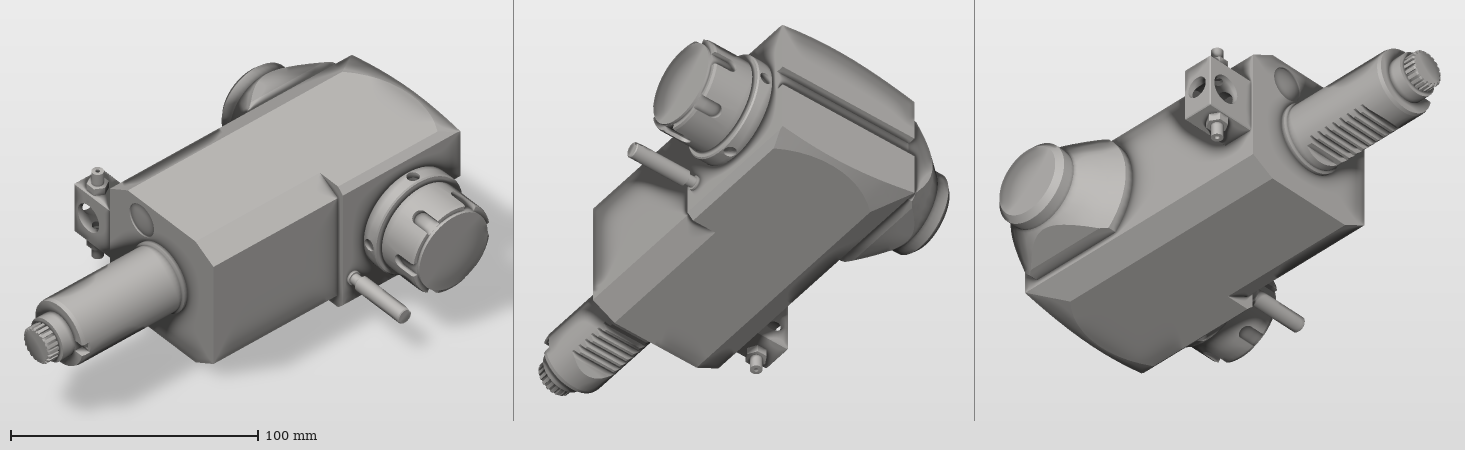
import cadquery as cq
import math


HOUSING_LENGTH = 129.0
HOUSING_HALF_HEIGHT = 64.0 / 2
HOUSING_LEFT = -32.3
HOUSING_RIGHT = 32.1
HEAD_RIGHT = 35.3
HEAD_START = 66.2
HEAD_CHAMFER = 3.0
CORNER_WIDTH = 11.2
CORNER_HEIGHT = 6.3
CROWN_CENTER = (8.8, 82.0)
CROWN_RADIUS = 44.1
CROWN_ANGLE = 19.0
NOTCH_DEPTH = 3.7
NOTCH_WIDTH = 10.0
RECESS_CENTER = (-12.5, 21.8)
RECESS_RADIUS = 7.6
RECESS_DEPTH = 0.8

CUTTER_WIDTH = 4 * HEAD_RIGHT

COLLAR_RADIUS = 16.0
COLLAR_END = 1.5
SHANK_RADIUS = 30.0 / 2
COLLAR_TAPER_END = 2.4
SHANK_END = 54.9
TAPER_LENGTH = 1.8
TAPER_DEPTH = 0.4
NECK_RADIUS = 10.0
NECK_END = 61.2
KEYWAY_WIDTH = 5.5
KEYWAY_DEPTH = 4.0
KEYWAY_POCKET_SIZE = 3.5
KEYWAY_POCKET_DEPTH = 2.0

SPLINE_RADIUS = 8.2
SPLINE_ROOT_RADIUS = 7.0
SPLINE_START = 61.7
SPLINE_END = 67.0
SPLINE_CHAMFER = 0.5
SPLINE_TEETH = 20
SPLINE_GAP_WIDTH = 1.2

RACK_TOP = 12.2
RACK_ROOT = 10.4
RACK_START = 7.5
RACK_START_RUN = 1.5
RACK_FIRST_GAP = 11.5
RACK_PITCH = 4.1
RACK_GAPS = 8
RACK_ROOT_WIDTH = 1.2
RACK_GAP_WIDTH = 3.0

SPINDLE_Y = 100.0

COVER_RADIUS = 32.0
COVER_STEP = -36.5
COVER_HALF_HEIGHT = 23.0
COVER_BEVEL_START = -38.8
COVER_BEVEL_ANGLE = 15.0
COVER_BACK = 124.9
CAP_RADIUS = 36.7 / 2
CAP_START = -52.7
CAP_END = -60.8
CAP_CHAMFER = 2.5

FLANGE_RADIUS = 23.5
FLANGE_START = 35.9
FLANGE_END = 43.5
FLANGE_CHAMFER = 0.5
FLANGE_HOLE_RADIUS = 2.7
FLANGE_HOLE_DEPTH = 3.0
FLANGE_HOLES = 4
DRILL_POINT_ANGLE = 118.0
SPINDLE_RADIUS = 17.2
NUT_RADIUS = 20.8
NUT_START = 44.5
NUT_END = 63.5
NUT_CHAMFER_LENGTH = 1.2
NUT_CHAMFER_DEPTH = 0.4
NUT_FACE_RADIUS = 18.2
NUT_FACE_END = 64.9
NUT_SLOTS = 6
NUT_SLOT_WIDTH = 6.5
NUT_SLOT_START = 52.5

PIPE_Y = 71.5
PIPE_Z = -17.0
PIPE_RADIUS = 3.5
PIPE_START = 40.8
PIPE_END = 67.8
PIPE_CHAMFER = 0.4
PIPE_NECK_RADIUS = 2.4
PIPE_FOOT_RADIUS = 3.1
PIPE_FOOT_END = 36.5
PIPE_HOLE_RADIUS = 1.5
PIPE_HOLE_DEPTH = 4.0
PIPE_HOLE_ANGLE = 45.0
PIPE_HOLE_SETBACK = 1.0

BLOCK_LEFT = -56.0
BLOCK_FRONT = 1.2
BLOCK_BACK = 15.9
BLOCK_HALF_HEIGHT = 12.7
BLOCK_CHAMFER = 0.4
SCREW_X = -47.0
SCREW_Y = 6.0
SCREW_RADIUS = 2.5
SCREW_BORE_RADIUS = 1.0
SCREW_HOLE_RADIUS = 2.4
SCREW_HOLE_TOP = 8.8
SCREW_TOP = 22.3
HEX_NUT_TOP = 16.3
HEX_NUT_DIAMETER = 9.2
SOCKET_DIAMETER = 3.1
SOCKET_DEPTH = 2.0
PORT_RADIUS = 6.7
SIDE_PORT_Y = 8.6
SIDE_PORT_RADIUS = 4.9
SIDE_PORT_END = -38.2


def turned_about_y(profile):
    """Solid of revolution about the Y axis from (radius, distance in front of the housing) points."""
    points = [(radius, -distance) for radius, distance in profile]
    return cq.Workplane("XY").polyline(points).close().revolve(360, (0, 0, 0), (0, 1, 0))


def turned_about_x(profile, y, z=0):
    """Solid of revolution about an axis parallel to X from (x, radius) points."""
    solid = cq.Workplane("XY").polyline(profile).close().revolve(360, (0, 0, 0), (1, 0, 0))
    return solid.translate((0, y, z))


def cylinder_along_x(radius, start, end, y):
    return cq.Workplane("YZ", origin=(start, y, 0)).circle(radius).extrude(end - start)


def spindle_pattern(tool, count):
    """Copies of a tool spaced evenly around the spindle axis."""
    axis_start = (0, SPINDLE_Y, 0)
    axis_end = (1, SPINDLE_Y, 0)
    return [tool.rotate(axis_start, axis_end, i * 360 / count) for i in range(count)]


def make_crown():
    """Double cone about a vertical axis that bounds the back of the housing above and below."""
    rim_radius = CROWN_RADIUS + HOUSING_HALF_HEIGHT / math.tan(math.radians(CROWN_ANGLE))
    profile = [
        (0, -HOUSING_HALF_HEIGHT),
        (CROWN_RADIUS, -HOUSING_HALF_HEIGHT),
        (rim_radius, 0),
        (CROWN_RADIUS, HOUSING_HALF_HEIGHT),
        (0, HOUSING_HALF_HEIGHT),
    ]
    cone = cq.Workplane("XZ").polyline(profile).close().revolve(360, (0, 0, 0), (0, 1, 0))
    return cone.translate((CROWN_CENTER[0], CROWN_CENTER[1], 0))


def housing_section(right, right_width, right_height):
    """Closed cross-section of the housing, symmetric above and below the shank axis."""
    top = HOUSING_HALF_HEIGHT
    upper = [
        (HOUSING_LEFT, top - CORNER_HEIGHT),
        (HOUSING_LEFT + CORNER_WIDTH, top),
        (right - right_width, top),
        (right, top - right_height),
    ]
    lower = [(x, -z) for x, z in reversed(upper)]
    return cq.Workplane("XZ").polyline(upper + lower).close()


def make_housing():
    front = housing_section(HOUSING_RIGHT, CORNER_WIDTH, CORNER_HEIGHT).extrude(-HEAD_START)
    head = housing_section(HEAD_RIGHT, HEAD_CHAMFER, HEAD_CHAMFER)
    head = head.extrude(HEAD_START - HOUSING_LENGTH).translate((0, HEAD_START, 0))
    crown_front = cq.Workplane("XY").box(
        CUTTER_WIDTH, CROWN_CENTER[1], CUTTER_WIDTH, centered=(True, False, True)
    )
    body = front.union(head).intersect(make_crown().union(crown_front))

    notch = cq.Workplane("XY").box(CUTTER_WIDTH, 2 * NOTCH_DEPTH, NOTCH_WIDTH)
    recess = cq.Workplane("XZ").center(*RECESS_CENTER).circle(RECESS_RADIUS).extrude(-RECESS_DEPTH)
    return body.cut(notch.translate((0, HOUSING_LENGTH, 0))).cut(recess)


def make_rack_cut():
    """Flat and tooth gaps cut across the underside of the shank."""
    below = COLLAR_RADIUS
    last_gap = RACK_FIRST_GAP + (RACK_GAPS - 1) * RACK_PITCH
    rack_end = last_gap + RACK_GAP_WIDTH / 2
    depth = below - RACK_TOP
    outline = [
        (-RACK_START, -RACK_TOP),
        (-rack_end, -RACK_TOP),
        (-rack_end - depth, -below),
        (-RACK_START + RACK_START_RUN, -below),
    ]
    half_width = SHANK_RADIUS
    cutter = cq.Workplane("YZ").polyline(outline).close().extrude(half_width, both=True)
    for i in range(RACK_GAPS):
        middle = -RACK_FIRST_GAP - i * RACK_PITCH
        gap = [
            (middle - RACK_GAP_WIDTH / 2, -RACK_TOP),
            (middle - RACK_ROOT_WIDTH / 2, -RACK_ROOT),
            (middle + RACK_ROOT_WIDTH / 2, -RACK_ROOT),
            (middle + RACK_GAP_WIDTH / 2, -RACK_TOP),
        ]
        cutter = cutter.union(cq.Workplane("YZ").polyline(gap).close().extrude(half_width, both=True))
    return cutter


def make_shank():
    shank = turned_about_y([
        (0, 0),
        (COLLAR_RADIUS, 0),
        (COLLAR_RADIUS, COLLAR_END),
        (SHANK_RADIUS, COLLAR_TAPER_END),
        (SHANK_RADIUS, SHANK_END - TAPER_LENGTH),
        (SHANK_RADIUS - TAPER_DEPTH, SHANK_END),
        (NECK_RADIUS, SHANK_END),
        (NECK_RADIUS, NECK_END),
        (SPLINE_ROOT_RADIUS, NECK_END),
        (SPLINE_ROOT_RADIUS, SPLINE_START),
        (SPLINE_RADIUS, SPLINE_START),
        (SPLINE_RADIUS, SPLINE_END - SPLINE_CHAMFER),
        (SPLINE_RADIUS - SPLINE_CHAMFER, SPLINE_END),
        (0, SPLINE_END),
    ])
    keyway = cq.Workplane("XY").box(
        SHANK_RADIUS, KEYWAY_DEPTH, KEYWAY_WIDTH, centered=(False, False, True)
    )
    keyway = keyway.translate((NECK_RADIUS, -SHANK_END, 0))
    pocket = cq.Workplane("XY").box(
        KEYWAY_POCKET_SIZE, KEYWAY_POCKET_DEPTH, KEYWAY_POCKET_SIZE, centered=(False, False, True)
    )
    pocket = pocket.translate((NECK_RADIUS, -SHANK_END + KEYWAY_DEPTH, 0))
    shank = shank.cut(make_rack_cut()).cut(keyway).cut(pocket)

    gap = cq.Workplane("XY").box(
        SPLINE_RADIUS, SPLINE_END - NECK_END, SPLINE_GAP_WIDTH, centered=(False, False, True)
    )
    gap = gap.translate((SPLINE_ROOT_RADIUS, -SPLINE_END, 0))
    for i in range(SPLINE_TEETH):
        shank = shank.cut(gap.rotate((0, 0, 0), (0, 1, 0), i * 360 / SPLINE_TEETH))
    return shank


def make_cover():
    """Conical cover, flattened above, below and behind, with a plain round cap on its end."""
    cone = turned_about_x([
        (HOUSING_LEFT, 0),
        (HOUSING_LEFT, COVER_RADIUS),
        (COVER_STEP, COVER_RADIUS),
        (CAP_START, CAP_RADIUS),
        (CAP_START, 0),
    ], SPINDLE_Y)
    bevel_drop = (COVER_BEVEL_START - CAP_START) * math.tan(math.radians(COVER_BEVEL_ANGLE))
    upper = [
        (HOUSING_LEFT, COVER_HALF_HEIGHT),
        (COVER_BEVEL_START, COVER_HALF_HEIGHT),
        (CAP_START, COVER_HALF_HEIGHT - bevel_drop),
    ]
    lower = [(x, -z) for x, z in reversed(upper)]
    slab = cq.Workplane("XZ", origin=(0, COVER_BACK, 0)).polyline(upper + lower).close()
    cover = cone.intersect(slab.extrude(COVER_BACK))
    cap = turned_about_x([
        (CAP_START, 0),
        (CAP_START, CAP_RADIUS),
        (CAP_END + CAP_CHAMFER, CAP_RADIUS),
        (CAP_END, CAP_RADIUS - CAP_CHAMFER),
        (CAP_END, 0),
    ], SPINDLE_Y)
    return cover.union(cap)


def make_flange():
    flange = cylinder_along_x(FLANGE_RADIUS, FLANGE_START, FLANGE_END, SPINDLE_Y)
    flange = flange.edges("%CIRCLE").chamfer(FLANGE_CHAMFER)
    tip_length = FLANGE_HOLE_RADIUS / math.tan(math.radians(DRILL_POINT_ANGLE / 2))
    drill = [
        (0, FLANGE_RADIUS),
        (FLANGE_HOLE_RADIUS, FLANGE_RADIUS),
        (FLANGE_HOLE_RADIUS, FLANGE_RADIUS - FLANGE_HOLE_DEPTH),
        (0, FLANGE_RADIUS - FLANGE_HOLE_DEPTH - tip_length),
    ]
    hole = cq.Workplane("XZ").polyline(drill).close().revolve(360, (0, 0, 0), (0, 1, 0))
    hole = hole.translate(((FLANGE_START + FLANGE_END) / 2, SPINDLE_Y, 0))
    for tool in spindle_pattern(hole, FLANGE_HOLES):
        flange = flange.cut(tool)
    return flange


def make_collet_nut():
    nut = turned_about_x([
        (NUT_START, 0),
        (NUT_START, NUT_RADIUS),
        (NUT_END - NUT_CHAMFER_LENGTH, NUT_RADIUS),
        (NUT_END, NUT_RADIUS - NUT_CHAMFER_DEPTH),
        (NUT_END, NUT_FACE_RADIUS),
        (NUT_FACE_END, NUT_FACE_RADIUS),
        (NUT_FACE_END, 0),
    ], SPINDLE_Y)
    half_width = NUT_SLOT_WIDTH / 2
    round_start = NUT_SLOT_START + half_width
    slot = (
        cq.Workplane("XZ", origin=(0, SPINDLE_Y - NUT_FACE_RADIUS, 0))
        .moveTo(NUT_FACE_END, half_width)
        .lineTo(round_start, half_width)
        .threePointArc((NUT_SLOT_START, 0), (round_start, -half_width))
        .lineTo(NUT_FACE_END, -half_width)
        .close()
        .extrude(NUT_RADIUS)
    )
    for tool in spindle_pattern(slot, NUT_SLOTS):
        nut = nut.cut(tool)
    return nut


def make_coolant_pipe():
    """Pipe with a slanting outlet through the edge of its tip, on the side facing the spindle."""
    pipe = turned_about_x([
        (HEAD_RIGHT, 0),
        (HEAD_RIGHT, PIPE_FOOT_RADIUS),
        (PIPE_FOOT_END, PIPE_FOOT_RADIUS),
        (PIPE_FOOT_END, PIPE_NECK_RADIUS),
        (PIPE_START, PIPE_NECK_RADIUS),
        (PIPE_START, PIPE_RADIUS),
        (PIPE_END - PIPE_CHAMFER, PIPE_RADIUS),
        (PIPE_END, PIPE_RADIUS - PIPE_CHAMFER),
        (PIPE_END, 0),
    ], PIPE_Y, PIPE_Z)
    nozzle = cylinder_along_x(PIPE_HOLE_RADIUS, -PIPE_HOLE_DEPTH, PIPE_HOLE_DEPTH, 0)
    nozzle = nozzle.rotate((0, 0, 0), (0, 0, 1), PIPE_HOLE_ANGLE)
    nozzle = nozzle.translate((PIPE_END - PIPE_HOLE_SETBACK, PIPE_RADIUS, 0))
    aim = math.degrees(math.atan2(-PIPE_Z, SPINDLE_Y - PIPE_Y))
    nozzle = nozzle.rotate((0, 0, 0), (1, 0, 0), aim)
    return pipe.cut(nozzle.translate((0, PIPE_Y, PIPE_Z)))


def make_screw():
    """Upper clamping screw with its hexagon nut."""
    base = cq.Workplane("XY", origin=(SCREW_X, SCREW_Y, BLOCK_HALF_HEIGHT))
    nut = base.polygon(6, HEX_NUT_DIAMETER).extrude(HEX_NUT_TOP - BLOCK_HALF_HEIGHT)
    stem = base.circle(SCREW_RADIUS).extrude(SCREW_TOP - BLOCK_HALF_HEIGHT)
    return nut.union(stem)


def make_side_block():
    block = cq.Workplane("XY").box(
        HOUSING_LEFT - BLOCK_LEFT,
        BLOCK_BACK - BLOCK_FRONT,
        2 * BLOCK_HALF_HEIGHT,
        centered=(False, False, True),
    )
    block = block.translate((BLOCK_LEFT, BLOCK_FRONT, 0))
    block = block.edges("|X or <X").chamfer(BLOCK_CHAMFER)

    port = cq.Workplane("XZ").center(SCREW_X, 0).circle(PORT_RADIUS).extrude(-BLOCK_BACK)
    side_port = cylinder_along_x(SIDE_PORT_RADIUS, BLOCK_LEFT, SIDE_PORT_END, SIDE_PORT_Y)
    socket = cq.Workplane("YZ", origin=(SIDE_PORT_END, SIDE_PORT_Y, 0)).polygon(6, SOCKET_DIAMETER)
    block = block.cut(port).cut(side_port).cut(socket.extrude(SOCKET_DEPTH))

    screw = make_screw()
    bore = cq.Workplane("XY", origin=(SCREW_X, SCREW_Y, 0)).circle(SCREW_BORE_RADIUS)
    bore = bore.extrude(SCREW_TOP, both=True)
    hole = cq.Workplane("XY", origin=(SCREW_X, SCREW_Y, 0)).circle(SCREW_HOLE_RADIUS)
    hole = hole.extrude(SCREW_HOLE_TOP, both=True)
    return block.union(screw).union(screw.mirror("XY")).cut(bore).cut(hole)


spindle = cylinder_along_x(SPINDLE_RADIUS, HEAD_RIGHT, NUT_START, SPINDLE_Y)

result = (
    make_housing()
    .union(make_shank())
    .union(make_cover())
    .union(spindle)
    .union(make_flange())
    .union(make_collet_nut())
    .union(make_coolant_pipe())
    .union(make_side_block())
)